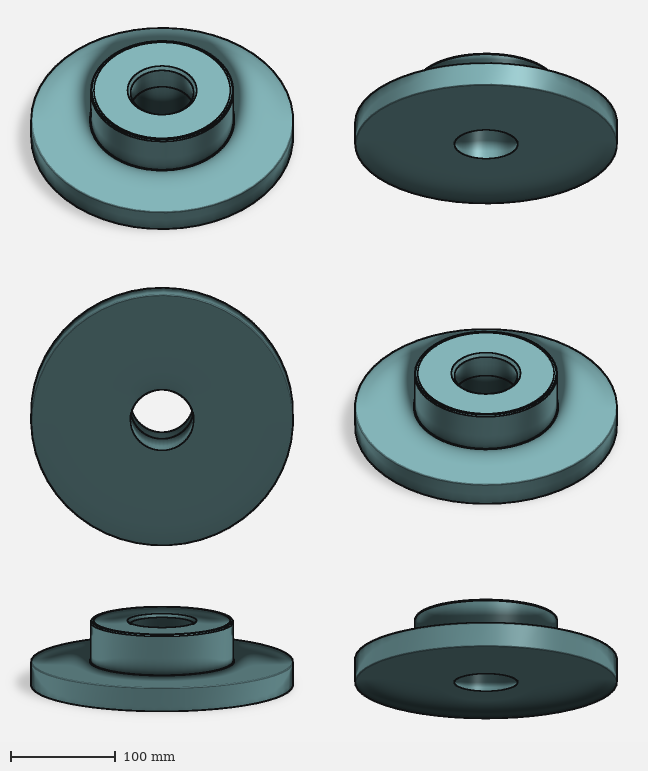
import cadquery as cq

flange_diameter = 250
flange_thickness = 23.5
rim_fillet = 0.8

total_height = 63.0
hub_diameter = 136.0
hub_chamfer_height = 1.5
hub_chamfer_width = 1.0

collar_diameter = 138.0
collar_height = 0.38

insert_diameter = 130
insert_height = 25
insert_bore_diameter = 60
insert_bore_chamfer = 3.0
insert_bottom = total_height - insert_height

housing_bore_diameter = 60.2


def cylinder(diameter, height, bottom=0):
    """Upright cylinder on the Z axis, standing at the given height."""
    return cq.Workplane("XY", origin=(0, 0, bottom)).circle(diameter / 2).extrude(height)


def make_collar():
    """Triangular ring between the flange top and the hub wall."""
    hub_radius = hub_diameter / 2
    return (
        cq.Workplane("XZ")
        .moveTo(hub_radius, flange_thickness)
        .lineTo(collar_diameter / 2, flange_thickness)
        .lineTo(hub_radius, flange_thickness + collar_height)
        .close()
        .revolve(360, (0, 0, 0), (0, 1, 0))
    )


def make_housing():
    """Flange and hub in one piece, with a through bore and a pocket for the insert."""
    flange = cylinder(flange_diameter, flange_thickness).edges().fillet(rim_fillet)
    hub = cylinder(hub_diameter, total_height)
    hub = hub.faces(">Z").edges().chamfer(hub_chamfer_height, hub_chamfer_width)
    body = flange.union(hub).union(make_collar())

    bore = cylinder(housing_bore_diameter, total_height)
    pocket = cylinder(insert_diameter, insert_height, insert_bottom)
    return body.cut(bore).cut(pocket)


def make_insert():
    """Flat ring that fills the hub pocket, with a chamfered bore mouth."""
    bore = cylinder(insert_bore_diameter, insert_height, insert_bottom)
    ring = cylinder(insert_diameter, insert_height, insert_bottom).cut(bore)
    bore_mouth = cq.selectors.RadiusNthSelector(0)
    return ring.faces(">Z").edges(bore_mouth).chamfer(insert_bore_chamfer)


housing = make_housing()
insert = make_insert()

result = cq.Compound.makeCompound([housing.val(), insert.val()])